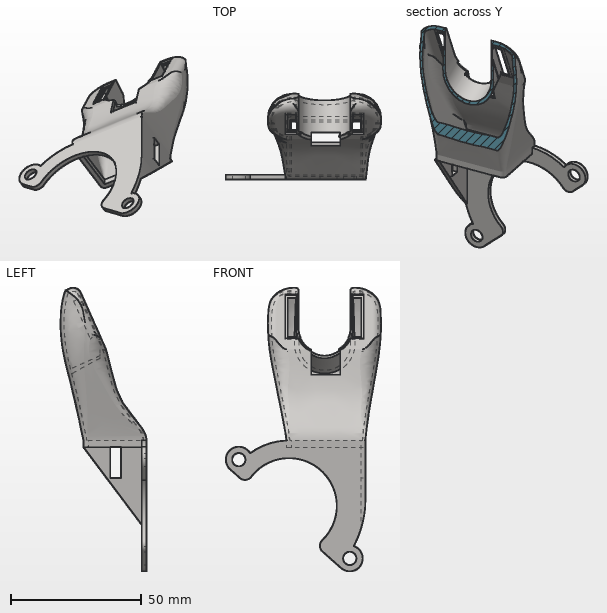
import cadquery as cq
import math


wall = 2.0
duct_wall = 1.3
base_left, base_right = -14.7, 15.8
base_depth = 24.3
base_back_radius = 1.9
collar_height = 2.6

hook_x, hook_z = -13.6, -25.2
hook_top_radius = -hook_z
side_arc_radius = 39.3
side_arc_z = -22.4
opening_radius = 18.3
lug_centers = [(-33.0, -7.4), (9.7, -45.4)]
lug_radius = 5.0
lug_hole_radius = 2.5
plate_corner_radius = 3.0

gusset_bottom = -32.4
clip_near, clip_far = 9.9, 14.0
clip_bottom = -14.4

head_top = 58.7
head_half_width = 21.8
head_tilt = 24.0
head_foot_y, head_foot_z = 15.6, 35.0
shoulder_radius = 9.8
rim_radius = 3.3
face_overlap = 6.5
bore_radius = 9.9
bore_bottom_z = 34.0
bore_rim_chamfer = 1.0
ear_tip_radius = 2.4
bore_wall = 0.7
bore_wall_taper = 4.5

ear_outlet_outer = 15.2
ear_outlet_bottom, ear_outlet_top = 39.3, 56.2
lip = 1.1
lip_depth = 0.9
center_outlet_left, center_outlet_right = -5.0, 6.0
center_outlet_bottom = 25.2
center_outlet_back = 18.1

stations = [
    (0.0, base_left, base_right, 0.0, base_depth, 0.4, base_back_radius),
    (4.9, -15.4, 16.3, 2.0, 25.4, 1.1, 2.6),
    (14.3, -17.3, 17.7, 9.1, 27.3, 3.5, 4.4),
    (24.1, -19.2, 19.4, 12.9, 29.8, 5.5, 6.0),
    (head_foot_z, -21.2, 21.2, head_foot_y, 32.3, 6.5, 8.2),
    (44.8, -head_half_width, head_half_width, 18.6, 33.2, 1.6, 9.8),
    (52.4, -head_half_width, head_half_width, 20.2, 32.6, 0.7, 10.9),
    (head_top, -head_half_width, head_half_width, 20.2, 30.8, 0.7, 9.8),
]

smallest_radius = 0.3
overlap = 0.5
tolerance = 0.01
far = 109.2


def section_wire(station, inset):
    """Rectangle at one height with rounded front and back corners, shrunk by inset."""
    z, left, right, front, back, front_radius, back_radius = station
    left, right = left + inset, right - inset
    front, back = front + inset, back - inset
    rf = max(front_radius - inset, smallest_radius)
    rb = max(back_radius - inset, smallest_radius)
    return (
        cq.Workplane("XY", origin=(0, 0, z))
        .moveTo(left + rf, front)
        .lineTo(right - rf, front)
        .radiusArc((right, front + rf), -rf)
        .lineTo(right, back - rb)
        .radiusArc((right - rb, back), -rb)
        .lineTo(left + rb, back)
        .radiusArc((left, back - rb), -rb)
        .lineTo(left, front + rf)
        .radiusArc((left + rf, front), -rf)
        .close()
        .val()
    )


def duct_loft(inset):
    """Smooth skin through all duct cross-sections."""
    wires = [section_wire(station, inset) for station in stations]
    return cq.Workplane(cq.Solid.makeLoft(wires))


def head_plane(inset=0.0):
    """Workplane on the flat front face: local x is X, local y runs up the slope, normal points forward."""
    tilt = math.radians(head_tilt)
    normal = cq.Vector(0, -math.cos(tilt), math.sin(tilt))
    origin = cq.Vector(0, head_foot_y, head_foot_z) - normal * inset
    return cq.Workplane(cq.Plane(origin=origin, xDir=(1, 0, 0), normal=normal))


def slope(z):
    """Distance up the flat front face that corresponds to height z."""
    return (z - head_foot_z) / math.cos(math.radians(head_tilt))


bore_center_slope = slope(bore_bottom_z) + bore_radius
fork_top_slope = rim_radius + slope(head_top - rim_radius + rim_radius * math.sin(math.radians(head_tilt)))
slab_foot_z = head_foot_z - face_overlap * math.cos(math.radians(head_tilt))


def box(x0, x1, y0, y1, z0, z1):
    """Block between the given limits along X, Y and Z."""
    return cq.Workplane("XY").box(x1 - x0, y1 - y0, z1 - z0, centered=False).translate((x0, y0, z0))


def fork_envelope(inset):
    """Slab on the flat front face with round shoulders and a rounded rim, joined to a block below it."""
    top = fork_top_slope - inset
    half_width = head_half_width - inset
    shoulder = shoulder_radius - inset
    slab = (
        head_plane(inset)
        .moveTo(-half_width, -face_overlap)
        .lineTo(half_width, -face_overlap)
        .lineTo(half_width, top - shoulder)
        .radiusArc((half_width - shoulder, top), -shoulder)
        .lineTo(shoulder - half_width, top)
        .radiusArc((-half_width, top - shoulder), -shoulder)
        .close()
        .extrude(-far)
    )
    face = slab.faces(cq.selectors.DirectionMinMaxSelector(head_plane().plane.zDir))
    slab = face.edges("not <Z").fillet(rim_radius - inset)
    half = far / 2
    return slab.union(box(-half, half, -half, half, -half, slab_foot_z))


def bore(growth=0.0, taper=0.0):
    """Upward-open U square to the flat front face, flared at the ear tips.

    It is widened by growth at the face and by a taper towards the back.
    """
    radius = bore_radius + growth
    flared = radius + ear_tip_radius
    tip_start = fork_top_slope - ear_tip_radius
    arc_middle = flared - ear_tip_radius * math.sqrt(0.5)
    arc_middle_slope = tip_start + ear_tip_radius * math.sqrt(0.5)
    return (
        head_plane()
        .moveTo(radius, bore_center_slope)
        .lineTo(radius, tip_start)
        .threePointArc((arc_middle, arc_middle_slope), (flared, fork_top_slope))
        .lineTo(flared, far)
        .lineTo(-flared, far)
        .lineTo(-flared, fork_top_slope)
        .threePointArc((-arc_middle, arc_middle_slope), (-radius, tip_start))
        .lineTo(-radius, bore_center_slope)
        .threePointArc((0, bore_center_slope - radius), (radius, bore_center_slope))
        .close()
        .extrude(-far / 2, taper=-taper)
    )


def duct_body(inset):
    """Duct with its flat fork face and round shoulders, shrunk by inset."""
    return duct_loft(inset).intersect(fork_envelope(inset))


def bore_rim():
    """Conical chamfer along the lower arc of the bore, ending level with the ear outlets."""
    rim_top = slope(ear_outlet_bottom)
    cone = (
        head_plane()
        .center(0, bore_center_slope)
        .circle(bore_radius + bore_rim_chamfer)
        .extrude(-bore_rim_chamfer, taper=45)
    )
    lower_half = head_plane().center(0, rim_top - far / 2).rect(far, far).extrude(-bore_rim_chamfer)
    return cone.intersect(lower_half)


def front_sketch():
    """Workplane at Y = 0 with local x along X and local y along Z."""
    return cq.Workplane("XZ")


def hook_outline(depth):
    """Hook shape without its opening, closed by a chord tangent to both lugs."""
    (lx, lz), (rx, rz) = lug_centers
    span = math.hypot(rx - lx, rz - lz)
    chord_dx = -lug_radius * (lz - rz) / span
    chord_dz = -lug_radius * (rx - lx) / span
    left_angle = math.atan2(lz - hook_z, lx - hook_x)
    right_angle = math.asin((rz - side_arc_z) / side_arc_radius)

    def on_top_arc(angle):
        return (hook_x + hook_top_radius * math.cos(angle), hook_z + hook_top_radius * math.sin(angle))

    def on_side_arc(angle):
        center_x = base_right - side_arc_radius
        return (center_x + side_arc_radius * math.cos(angle), side_arc_z + side_arc_radius * math.sin(angle))

    return (
        front_sketch()
        .moveTo(base_right, 0)
        .lineTo(hook_x, 0)
        .threePointArc(on_top_arc((math.pi / 2 + left_angle) / 2), on_top_arc(left_angle))
        .lineTo(lx + chord_dx, lz + chord_dz)
        .lineTo(rx + chord_dx, rz + chord_dz)
        .lineTo(*on_side_arc(right_angle))
        .threePointArc(on_side_arc(right_angle / 2), (base_right, side_arc_z))
        .close()
        .extrude(-depth)
    )


def plate():
    """Hook-shaped mounting plate with a drilled lug at each end."""
    opening = front_sketch().center(hook_x, hook_z).circle(opening_radius).extrude(-wall)
    corner_reach = opening_radius + tolerance
    body = hook_outline(wall).cut(opening)
    corners = body.edges("|Y").filter(
        lambda edge: math.hypot(edge.Center().x - hook_x, edge.Center().z - hook_z) < corner_reach
    )
    body = corners.fillet(plate_corner_radius)
    lugs = front_sketch().pushPoints(lug_centers).circle(lug_radius).extrude(-wall)
    holes = front_sketch().pushPoints(lug_centers).circle(lug_hole_radius).extrude(-wall)
    return body.union(lugs).cut(holes)


def collar():
    """Straight collar that carries the duct down to the air inlet."""
    body = box(base_left, base_right, 0, base_depth, -collar_height, 0)
    return body.edges("|Z and >Y").fillet(base_back_radius)


def gusset():
    """Triangular rib under the right end of the collar, with a rectangular clip slot."""
    rib = (
        cq.Workplane("YZ", origin=(base_right - wall, 0, 0))
        .polyline([(wall, -collar_height), (base_depth, -collar_height), (wall, gusset_bottom)])
        .close()
        .extrude(wall)
    )
    slot = box(base_right - wall, base_right, clip_near, clip_far, clip_bottom, -collar_height)
    return rib.cut(slot).intersect(hook_outline(base_depth))


def air_passage():
    """Hollow inside: the inset duct, kept clear of the bore by a thin wall, opened at the inlet."""
    inside = duct_body(duct_wall).cut(bore(bore_wall, bore_wall_taper))
    inlet = box(base_left + wall, base_right - wall, wall, base_depth - wall, -collar_height, overlap)
    return inside.union(inlet)


def ear_outlet(side):
    """Stepped outlet through the flat face of one fork ear; side is -1 or 1."""
    inner = bore_radius + bore_wall
    low, high = slope(ear_outlet_bottom), slope(ear_outlet_top)

    def pocket(margin, depth):
        width = ear_outlet_outer - inner - margin
        height = high - low - 2 * margin
        plane = head_plane().center(side * (inner + width / 2), (low + high) / 2)
        return plane.rect(width, height).extrude(-depth)

    return pocket(0, lip_depth).union(pocket(lip, 2 * wall))


def center_outlet():
    """Outlet through the front wall, straight below the bore."""
    return box(
        center_outlet_left, center_outlet_right, 0, center_outlet_back, center_outlet_bottom, head_foot_z
    )


solid = duct_body(0.0).union(collar()).union(plate()).union(gusset())
solid = solid.cut(bore()).cut(bore_rim()).cut(air_passage())
for side in (-1, 1):
    solid = solid.cut(ear_outlet(side))
result = solid.cut(center_outlet()).solids()